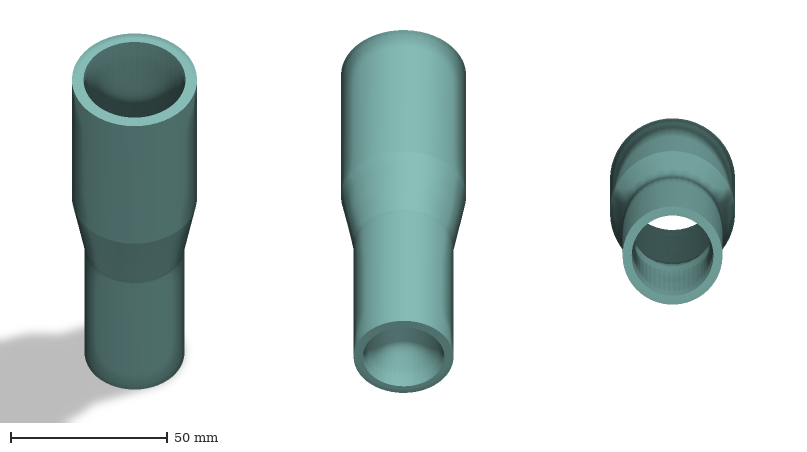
import cadquery as cq

total_height = 130.0
narrow_length = 50.8
taper_length = 23.1
wide_start = narrow_length + taper_length

wide_outer_radius = 40.0 / 2
wide_bore_radius = 32.6 / 2
narrow_outer_radius = 32.0 / 2
narrow_bore_radius = 26.1 / 2


def stepped_cone(narrow_radius, wide_radius):
    """Solid of revolution: narrow cylinder, straight taper, wide cylinder."""
    return (
        cq.Workplane("XZ")
        .moveTo(0, 0)
        .lineTo(narrow_radius, 0)
        .lineTo(narrow_radius, narrow_length)
        .lineTo(wide_radius, wide_start)
        .lineTo(wide_radius, total_height)
        .lineTo(0, total_height)
        .close()
        .revolve(360, (0, 0, 0), (0, 1, 0))
    )


outer_body = stepped_cone(narrow_outer_radius, wide_outer_radius)
bore = stepped_cone(narrow_bore_radius, wide_bore_radius)

result = outer_body.cut(bore)